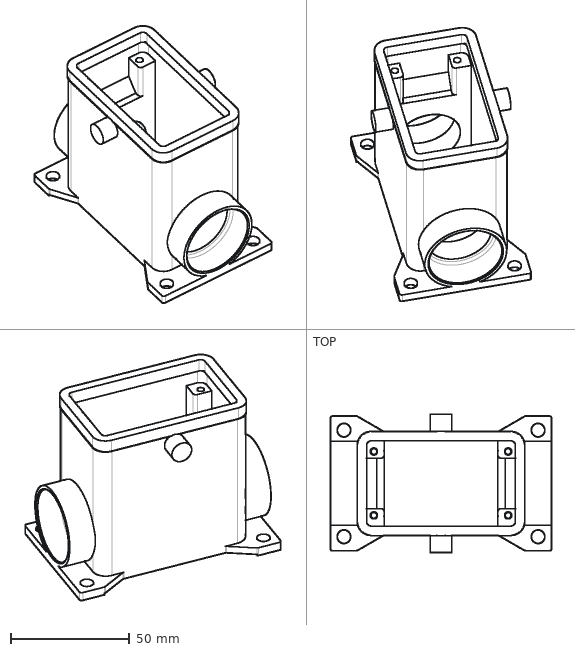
import cadquery as cq
import math

BASE_LENGTH = 93.5
BASE_WIDTH = 57.0
BASE_THICKNESS = 4.0
FLANGE_LENGTH = 11.25
FLANGE_TAPER_ANGLE = 30.0
BASE_CORNER_RADIUS = 1.0
WAIST_RADIUS = 0.7
RELIEF_DEPTH = 0.65
MOUNT_HOLE_DIAMETER = 5.6
MOUNT_HOLE_SPACING_X = 82.0
MOUNT_HOLE_SPACING_Y = 45.0

HEIGHT = 73.0
BODY_LENGTH = 70.4
BODY_WIDTH = 43.5
BODY_RADIUS = 6.0
RIM_OVERHANG = 0.25
RIM_HEIGHT = 5.7
RIM_WALL = 4.0
RIM_RADIUS = 6.0
RIM_INNER_RADIUS = 2.0
WALL = 3.1
CAVITY_RADIUS = 3.0

END_BLOCK_FACE_X = 24.0
LEDGE_Z = 44.4
SLOPE_START_X = 27.1
SLOPE_TOP_Z = 50.4

POST_FACE_X = END_BLOCK_FACE_X
POST_FACE_Y = 10.6
POST_TOP_Z = 61.0
POST_RADIUS = 1.5
SCREW_SPACING_X = 56.7
SCREW_SPACING_Y = 27.0
THREAD_DIAMETER = 3.0
THREAD_DEPTH = 10.0
DRILL_DIAMETER = 2.5
DRILL_DEPTH = 12.0
DRILL_TIP_ANGLE = 118.0

ENTRY_Z = 20.65
ENTRY_OUTER_RADIUS = 17.75
ENTRY_SOCKET_RADIUS = 15.8
ENTRY_SOCKET_DEPTH = 12.6
ENTRY_MOUTH_CHAMFER = 0.5
ENTRY_ROOT_LENGTH = 1.6
ENTRY_ROOT_HEIGHT = 0.55
ENTRY_PASSAGE_RADIUS = 13.9

PEG_DIAMETER = 9.2
PEG_SPAN = 58.5
PEG_Z = 63.1

SIDES = (-1, 1)


def rounded_block(length, width, radius, z_bottom, z_top):
    """Block centred on Z with rounded vertical edges."""
    block = cq.Workplane("XY").workplane(offset=z_bottom).rect(length, width).extrude(z_top - z_bottom)
    return block.edges("|Z").fillet(radius)


def base_plate():
    """Plate with two mounting flanges and a shallow relief across its underside."""
    end_x = BASE_LENGTH / 2
    shoulder_x = end_x - FLANGE_LENGTH
    flange_y = BASE_WIDTH / 2
    waist_y = BODY_WIDTH / 2
    waist_x = shoulder_x - (flange_y - waist_y) / math.tan(math.radians(FLANGE_TAPER_ANGLE))
    quarter = [(end_x, flange_y), (shoulder_x, flange_y), (waist_x, waist_y)]
    back = quarter + [(-x, y) for x, y in reversed(quarter)]
    front = [(x, -y) for x, y in reversed(back)]

    plate = cq.Workplane("XY").polyline(back + front).close().extrude(BASE_THICKNESS)
    waist_zone = cq.selectors.BoxSelector(
        (-waist_x - WAIST_RADIUS, -flange_y, 0),
        (waist_x + WAIST_RADIUS, flange_y, BASE_THICKNESS),
    )
    upright = cq.selectors.ParallelDirSelector(cq.Vector(0, 0, 1))
    plate = plate.edges(upright - waist_zone).fillet(BASE_CORNER_RADIUS)
    plate = plate.edges(upright & waist_zone).fillet(WAIST_RADIUS)
    relief = cq.Workplane("XY").rect(2 * shoulder_x, BASE_WIDTH).extrude(RELIEF_DEPTH)
    holes = (
        cq.Workplane("XY")
        .rect(MOUNT_HOLE_SPACING_X, MOUNT_HOLE_SPACING_Y, forConstruction=True)
        .vertices()
        .circle(MOUNT_HOLE_DIAMETER / 2)
        .extrude(BASE_THICKNESS)
    )
    return plate.cut(relief).cut(holes)


def outer_shell():
    """Solid body with the overhanging rim at its top."""
    body = rounded_block(BODY_LENGTH, BODY_WIDTH, BODY_RADIUS, RELIEF_DEPTH, HEIGHT)
    rim_length = BODY_LENGTH + 2 * RIM_OVERHANG
    rim_width = BODY_WIDTH + 2 * RIM_OVERHANG
    rim = rounded_block(rim_length, rim_width, RIM_RADIUS, HEIGHT - RIM_HEIGHT, HEIGHT)
    return body.union(rim)


def cavity():
    """Pocket that narrows at the rim, less the end blocks and screw posts."""
    rim_bottom = HEIGHT - RIM_HEIGHT
    length = BODY_LENGTH - 2 * WALL
    width = BODY_WIDTH - 2 * WALL
    mouth_length = BODY_LENGTH + 2 * (RIM_OVERHANG - RIM_WALL)
    mouth_width = BODY_WIDTH + 2 * (RIM_OVERHANG - RIM_WALL)
    pocket = rounded_block(length, width, CAVITY_RADIUS, BASE_THICKNESS, rim_bottom)
    mouth = rounded_block(mouth_length, mouth_width, RIM_INNER_RADIUS, rim_bottom, HEIGHT)
    space = pocket.union(mouth)
    for side in SIDES:
        space = space.cut(end_block(side, length / 2, width))
    return space.cut(screw_posts(length / 2, width / 2))


def end_block(side, wall_x, width):
    """Thick lower part of an end wall."""
    profile = [
        (END_BLOCK_FACE_X, BASE_THICKNESS),
        (END_BLOCK_FACE_X, LEDGE_Z),
        (SLOPE_START_X, LEDGE_Z),
        (wall_x, SLOPE_TOP_Z),
        (wall_x, BASE_THICKNESS),
    ]
    points = [(side * x, z) for x, z in profile]
    return cq.Workplane("XZ").polyline(points).close().extrude(width / 2, both=True)


def screw_posts(wall_x, wall_y):
    """Four corner posts, each rounded on its free edge and drilled from the top."""
    size_x = wall_x - POST_FACE_X
    size_y = wall_y - POST_FACE_Y
    post = (
        cq.Workplane("XY")
        .box(size_x, size_y, POST_TOP_Z - BASE_THICKNESS, centered=False)
        .edges("|Z and <X and <Y")
        .fillet(POST_RADIUS)
        .translate((POST_FACE_X, POST_FACE_Y, BASE_THICKNESS))
        .cut(screw_hole())
    )
    pair = post.union(post.mirror("YZ"))
    return pair.union(pair.mirror("XZ"))


def screw_hole():
    """Stepped blind hole: threaded length above a narrower drill-pointed end."""
    thread_radius = THREAD_DIAMETER / 2
    drill_radius = DRILL_DIAMETER / 2
    tip_depth = DRILL_DEPTH + drill_radius / math.tan(math.radians(DRILL_TIP_ANGLE / 2))
    profile = [
        (0, 0),
        (thread_radius, 0),
        (thread_radius, -THREAD_DEPTH),
        (drill_radius, -THREAD_DEPTH),
        (drill_radius, -DRILL_DEPTH),
        (0, -tip_depth),
    ]
    hole = cq.Workplane("XZ").polyline(profile).close().revolve(360, (0, 0), (0, 1))
    return hole.translate((SCREW_SPACING_X / 2, SCREW_SPACING_Y / 2, POST_TOP_Z))


def entry_tubes():
    """Outside of the cable entries, made as one bar through both ends."""
    bar = cq.Workplane("YZ").center(0, ENTRY_Z).circle(ENTRY_OUTER_RADIUS)
    return bar.extrude(BASE_LENGTH / 2, both=True)


def entry_bore(side):
    """Stepped bore of one cable entry: chamfered mouth, curved root, narrower passage."""
    mouth_x = BASE_LENGTH / 2
    shoulder_x = mouth_x - ENTRY_SOCKET_DEPTH
    bore = (
        cq.Workplane("XY")
        .moveTo(mouth_x, 0)
        .lineTo(mouth_x, ENTRY_SOCKET_RADIUS + ENTRY_MOUTH_CHAMFER)
        .lineTo(mouth_x - ENTRY_MOUTH_CHAMFER, ENTRY_SOCKET_RADIUS)
        .lineTo(shoulder_x + ENTRY_ROOT_LENGTH, ENTRY_SOCKET_RADIUS)
        .spline(
            [(shoulder_x, ENTRY_SOCKET_RADIUS - ENTRY_ROOT_HEIGHT)],
            tangents=[(-1, 0), (0, -1)],
            includeCurrent=True,
        )
        .lineTo(shoulder_x, ENTRY_PASSAGE_RADIUS)
        .lineTo(END_BLOCK_FACE_X, ENTRY_PASSAGE_RADIUS)
        .lineTo(END_BLOCK_FACE_X, 0)
        .close()
        .revolve(360, (0, 0), (1, 0))
        .translate((0, 0, ENTRY_Z))
    )
    return bore if side > 0 else bore.mirror("YZ")


def pegs():
    """Round bar whose ends form the locking pegs."""
    bar = cq.Workplane("XZ").center(0, PEG_Z).circle(PEG_DIAMETER / 2)
    return bar.extrude(PEG_SPAN / 2, both=True)


result = base_plate().union(outer_shell()).union(entry_tubes()).union(pegs()).cut(cavity())
for end in SIDES:
    result = result.cut(entry_bore(end))